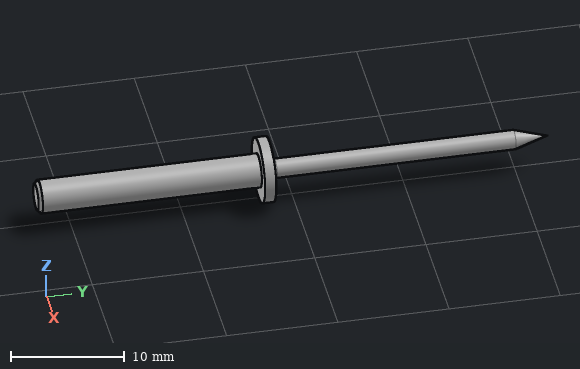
import cadquery as cq

total_length = 46.0
shank_length = 20.0
shank_radius = 1.5
shank_chamfer = 0.3
flange_radius = 2.95
flange_thickness = 1.0
needle_radius = 0.87
tip_length = 3.0
base_fillet = 0.5

flange_end = shank_length + flange_thickness
tip_start = total_length - tip_length

half_profile = (
    cq.Workplane("XY")
    .moveTo(0, 0)
    .lineTo(shank_radius - shank_chamfer, 0)
    .lineTo(shank_radius, shank_chamfer)
    .lineTo(shank_radius, shank_length)
    .lineTo(flange_radius, shank_length)
    .lineTo(flange_radius, flange_end)
    .lineTo(needle_radius + base_fillet, flange_end)
    .radiusArc((needle_radius, flange_end + base_fillet), base_fillet)
    .lineTo(needle_radius, tip_start)
    .lineTo(0, total_length)
    .close()
)

result = half_profile.revolve(360, (0, 0, 0), (0, 1, 0))